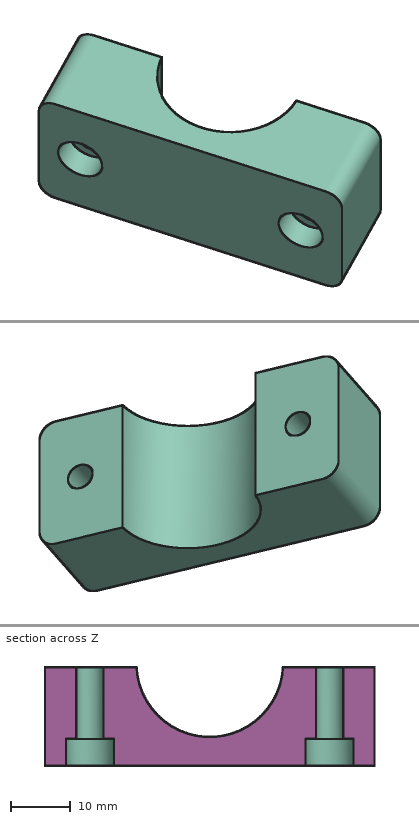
import cadquery as cq

length = 55.0
depth = 16.5
height = 24.0
corner_radius = 3.0

saddle_radius = 12.2
saddle_depth = 11.65

hole_spacing = 40.0
hole_diameter = 4.5
counterbore_diameter = 8.0
counterbore_depth = 4.5

front_y = -depth / 2
back_y = depth / 2


def make_block():
    """Block with the four edges running front to back rounded."""
    return cq.Workplane("XY").box(length, depth, height).edges("|Y").fillet(corner_radius)


def make_saddle():
    """Cylinder that cuts the saddle through the full height."""
    axis_y = back_y - saddle_depth + saddle_radius
    return (
        cq.Workplane("XY")
        .center(0, axis_y)
        .circle(saddle_radius)
        .extrude(height, both=True)
    )


def cut_screw_holes(body):
    """Add a counterbored through hole on each side of the saddle."""
    return (
        body.faces("<Y")
        .workplane(origin=(0, front_y, 0))
        .pushPoints([(-hole_spacing / 2, 0), (hole_spacing / 2, 0)])
        .cboreHole(hole_diameter, counterbore_diameter, counterbore_depth)
    )


result = cut_screw_holes(make_block().cut(make_saddle()))